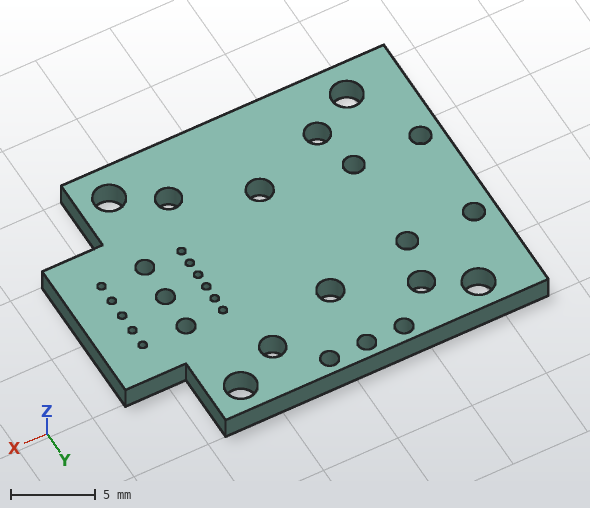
import cadquery as cq

total_length = 25.82
board_length = 21.75
board_width = 20.0
thickness = 1.6
tab_bottom = 5.05
tab_width = 10.12

header_pitch = 2.5
header_diameter = 1.1
middle_x = 11.65
middle_y = 10.22
top_header_y = 18.95
side_header_x = 20.37

pin_diameter = 0.5
inner_pin_x = 17.9
inner_pin_pitch = 1.0
inner_pin_count = 6
outer_pin_x = 23.3
outer_pin_pitch = header_pitch / 2
outer_pin_count = 5

mount_diameter = 2.0
mount_spacing = 16.0
mount_center_x = 11.7
mount_center_y = 10.17

medium_diameter = 1.6
medium_spacing_x = 4 * header_pitch
medium_spacing_y = 12.65

center_diameter = 1.65
center_spacing = 8.57

left_diameter = 1.3
left_spacing_x = 4.5
left_spacing_y = 6.5
left_center_x = 3.65


def grid(center_x, center_y, spacing_x, spacing_y, count_x=2, count_y=2):
    """Points of a regular grid about the given center."""
    return [
        (
            center_x + (i - (count_x - 1) / 2) * spacing_x,
            center_y + (j - (count_y - 1) / 2) * spacing_y,
        )
        for i in range(count_x)
        for j in range(count_y)
    ]


def drill(body, points, diameter):
    """Cut through holes at the given points."""
    cutters = cq.Workplane("XY").pushPoints(points).circle(diameter / 2).extrude(thickness)
    return body.cut(cutters)


board = cq.Workplane("XY").box(board_length, board_width, thickness, centered=False)
tab = (
    cq.Workplane("XY")
    .box(total_length - board_length, tab_width, thickness, centered=False)
    .translate((board_length, tab_bottom, 0))
)
result = board.union(tab)

hole_groups = [
    (grid(mount_center_x, mount_center_y, mount_spacing, mount_spacing), mount_diameter),
    (grid(middle_x, middle_y, medium_spacing_x, medium_spacing_y), medium_diameter),
    (grid(middle_x, middle_y, 0, center_spacing, count_x=1), center_diameter),
    (grid(left_center_x, middle_y, left_spacing_x, left_spacing_y), left_diameter),
    (grid(middle_x, top_header_y, header_pitch, 0, 3, 1), header_diameter),
    (grid(side_header_x, middle_y, 0, header_pitch, 1, 3), header_diameter),
    (grid(inner_pin_x, middle_y, 0, inner_pin_pitch, 1, inner_pin_count), pin_diameter),
    (grid(outer_pin_x, middle_y, 0, outer_pin_pitch, 1, outer_pin_count), pin_diameter),
]
for points, diameter in hole_groups:
    result = drill(result, points, diameter)